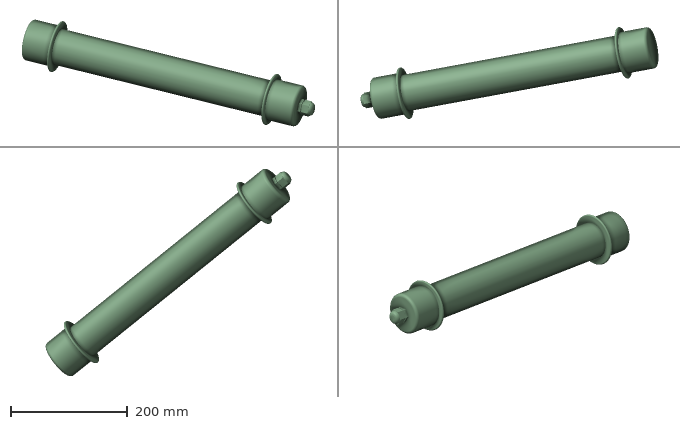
import cadquery as cq
import math

tube_diameter = 63.0
cap_diameter = 72.0
cap_length = 55.0
cap_edge_radius = 5.0
flange_diameter = 90.0
flange_thickness = 4.0
cap_floor = cap_edge_radius
caps_span = 500.5

overall_length = 525.0
gland_across_flats = 23.5
gland_base_length = 4.5
gland_gap = 1.5
thread_diameter = 20.0
thread_engagement = 6.5
dome_length = 6.5

gland_corner_diameter = gland_across_flats / math.cos(math.pi / 6)
nut_start = caps_span + gland_base_length + gland_gap
dome_start = overall_length - dome_length
thread_length = gland_gap + thread_engagement


def cylinder(start, length, diameter):
    """Solid cylinder along +X."""
    return cq.Workplane("YZ", origin=(start, 0, 0)).circle(diameter / 2).extrude(length)


def hexagon(start, length):
    """Hexagonal prism along +X with corners facing +Y and -Y."""
    return cq.Workplane("YZ", origin=(start, 0, 0)).polygon(6, gland_corner_diameter).extrude(length)


def make_tube():
    return cylinder(cap_floor, caps_span - 2 * cap_floor, tube_diameter)


def make_flange():
    """Disc with a fully rounded rim, ending at the open end of the cap."""
    flange_start = cap_length - flange_thickness
    flange_radius = flange_diameter / 2
    rim_start_radius = flange_radius - flange_thickness / 2
    return (
        cq.Workplane("XY")
        .moveTo(flange_start, 0)
        .lineTo(flange_start, rim_start_radius)
        .threePointArc((flange_start + flange_thickness / 2, flange_radius), (cap_length, rim_start_radius))
        .lineTo(cap_length, 0)
        .close()
        .revolve(360, (0, 0, 0), (1, 0, 0))
    )


def make_cap():
    """Cup with a rounded closed end at X = 0 and a flange around its open end."""
    cup = cylinder(0, cap_length, cap_diameter).faces("<X").edges().fillet(cap_edge_radius)
    flange = make_flange()
    socket = cylinder(cap_floor, cap_length - cap_floor, tube_diameter)
    return cup.union(flange).cut(socket)


def make_gland_base():
    """Hexagonal base with the threaded stub that carries the nut."""
    thread = cylinder(caps_span + gland_base_length, thread_length, thread_diameter)
    return hexagon(caps_span, gland_base_length).union(thread)


def make_gland_nut():
    """Hexagonal nut ending in a rounded dome with a flat tip."""
    dome = cylinder(nut_start, overall_length - nut_start, gland_across_flats)
    dome = dome.faces(">X").edges().fillet(dome_length)
    bore = cylinder(nut_start, thread_engagement, thread_diameter)
    return hexagon(nut_start, dome_start - nut_start).union(dome).cut(bore)


tube = make_tube()
caps = []
for turn, position in ((0, 0), (180, caps_span)):
    cap = make_cap().rotate((0, 0, 0), (0, 0, 1), turn).translate((position, 0, 0))
    caps.append(cap.val())
gland_base = make_gland_base()
gland_nut = make_gland_nut()

result = cq.Compound.makeCompound([tube.val(), *caps, gland_base.val(), gland_nut.val()])